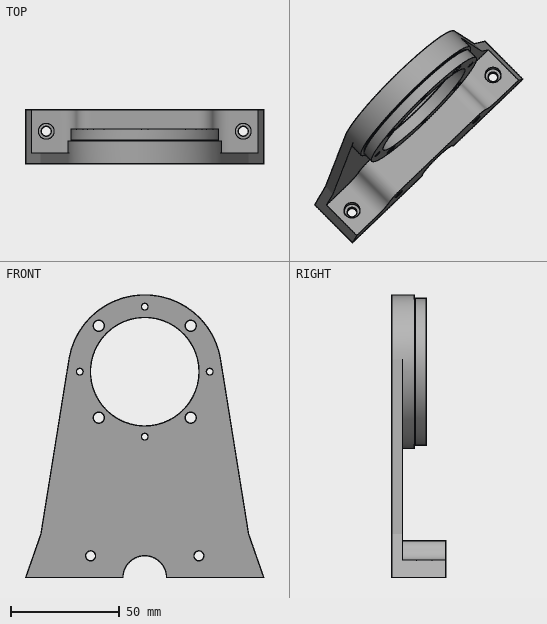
import cadquery as cq
import math

plate_thickness = 5.0
base_half_width = 55.0
knee_half_width = 48.0
knee_height = 20.0

bore_height = 95.0
bore_radius = 25.0
rear_bore_radius = 26.5
housing_radius = 35.5
housing_depth = 10.5
spigot_radius = 34.0
spigot_end = 16.0
neck_radius = 33.5
neck_end = 11.0

pitch_radius = 30.0
large_hole_diameter = 5.0
small_hole_diameter = 3.0

foot_depth = 25.0
flange_thickness = 8.0
relief_radius = 10.0
hub_x = 25.0
hub_height = 10.0
hub_radius = 7.0
hub_hole_diameter = 4.5
hub_fillet_radius = 8.0

mount_hole_diameter = 4.5
mount_counterbore_diameter = 7.3
mount_counterbore_depth = 4.4
mount_y = 15.0

side_slope = (base_half_width - knee_half_width) / knee_height
flange_half_width = base_half_width - side_slope * flange_thickness

fillet_center_height = flange_thickness + hub_fillet_radius
center_distance = hub_radius + hub_fillet_radius
fillet_start_x = hub_x + math.sqrt(center_distance**2 - (fillet_center_height - hub_height) ** 2)
mount_x = (fillet_start_x + flange_half_width) / 2


def front_plane(y=0.0):
    """Sketch plane with local x = X and local y = Z, whose normal points toward -Y."""
    return cq.Workplane("XZ", origin=(0, y, 0))


def cylinder(radius, y_start, y_end):
    """Cylinder on the bore axis between two Y positions."""
    return front_plane(y_start).center(0, bore_height).circle(radius).extrude(y_start - y_end)


def point_on_circle(center, radius, angle):
    return (center[0] + radius * math.cos(angle), center[1] + radius * math.sin(angle))


def make_plate():
    """Plate whose straight sides run tangent into the round top."""
    knee_drop = bore_height - knee_height
    knee_distance = math.hypot(knee_half_width, knee_drop)
    tangent_angle = math.acos(housing_radius / knee_distance) - math.atan2(knee_drop, knee_half_width)
    tangent_x, tangent_z = point_on_circle((0, bore_height), housing_radius, tangent_angle)
    outline = (
        front_plane()
        .moveTo(-base_half_width, 0)
        .lineTo(base_half_width, 0)
        .lineTo(knee_half_width, knee_height)
        .lineTo(tangent_x, tangent_z)
        .threePointArc((0, bore_height + housing_radius), (-tangent_x, tangent_z))
        .lineTo(-knee_half_width, knee_height)
        .close()
    )
    return outline.extrude(-plate_thickness)


def make_foot():
    """Foot with low flanges at the sides, rising over the hubs to a flat middle."""
    hub_center = (hub_x, hub_height)
    fillet_center = (fillet_start_x, fillet_center_height)
    join_angle = math.asin((fillet_center_height - hub_height) / center_distance)
    join_x, join_z = point_on_circle(hub_center, hub_radius, join_angle)
    hub_mid_x, hub_mid_z = point_on_circle(hub_center, hub_radius, (join_angle + math.pi / 2) / 2)
    fillet_mid_angle = (join_angle + math.pi + 3 * math.pi / 2) / 2
    fillet_mid_x, fillet_mid_z = point_on_circle(fillet_center, hub_fillet_radius, fillet_mid_angle)
    hub_top = hub_height + hub_radius
    outline = (
        front_plane()
        .moveTo(-base_half_width, 0)
        .lineTo(base_half_width, 0)
        .lineTo(flange_half_width, flange_thickness)
        .lineTo(fillet_start_x, flange_thickness)
        .threePointArc((fillet_mid_x, fillet_mid_z), (join_x, join_z))
        .threePointArc((hub_mid_x, hub_mid_z), (hub_x, hub_top))
        .lineTo(-hub_x, hub_top)
        .threePointArc((-hub_mid_x, hub_mid_z), (-join_x, join_z))
        .threePointArc((-fillet_mid_x, fillet_mid_z), (-fillet_start_x, flange_thickness))
        .lineTo(-flange_half_width, flange_thickness)
        .close()
    )
    return outline.extrude(-foot_depth)


def make_housing():
    """Round housing with a smaller spigot behind it, joined by a short relief neck."""
    housing = cylinder(housing_radius, 0, housing_depth)
    neck = cylinder(neck_radius, housing_depth, neck_end)
    spigot = cylinder(spigot_radius, neck_end, spigot_end)
    return housing.union(neck).union(spigot)


def cut_bore(body):
    """Bore through the housing, slightly wider inside the neck and spigot."""
    front_bore = cylinder(bore_radius, 0, housing_depth)
    rear_bore = cylinder(rear_bore_radius, housing_depth, spigot_end)
    return body.cut(front_bore).cut(rear_bore)


def cut_pitch_circle_holes(body):
    """Small holes on the axes and large holes on the diagonals around the bore."""
    for start_angle, diameter in ((0, small_hole_diameter), (45, large_hole_diameter)):
        holes = (
            front_plane()
            .center(0, bore_height)
            .polarArray(pitch_radius, start_angle, 360, 4)
            .circle(diameter / 2)
            .extrude(-spigot_end)
        )
        body = body.cut(holes)
    return body


def cut_foot_openings(body):
    """Half-round relief in the bottom edge and a hole through each hub."""
    relief = front_plane().circle(relief_radius).extrude(-foot_depth)
    hub_holes = (
        front_plane()
        .pushPoints([(-hub_x, hub_height), (hub_x, hub_height)])
        .circle(hub_hole_diameter / 2)
        .extrude(-foot_depth)
    )
    return body.cut(relief).cut(hub_holes)


def cut_mount_holes(body):
    """Vertical holes in the flanges, counterbored from above."""
    flange_top = body.copyWorkplane(cq.Workplane("XY", origin=(0, 0, flange_thickness)))
    return flange_top.pushPoints([(-mount_x, mount_y), (mount_x, mount_y)]).cboreHole(
        mount_hole_diameter, mount_counterbore_diameter, mount_counterbore_depth, flange_thickness
    )


body = make_plate().union(make_foot()).union(make_housing())
body = cut_bore(body)
body = cut_pitch_circle_holes(body)
body = cut_foot_openings(body)
result = cut_mount_holes(body)